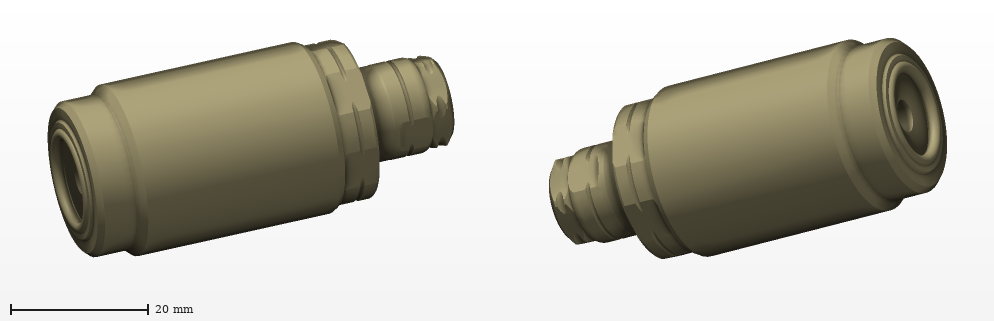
import cadquery as cq
import math

total_length = 57.85

body_radius = 12.815
body_front = 8.0
body_rear = 37.7
body_front_chamfer_length = 1.1
body_front_chamfer_radius = 11.8
body_rear_chamfer_length = 0.9
body_rear_chamfer_radius = 12.25

cap_radius = 11.65
cap_face = 0.85
cap_chamfer_length = 0.85
cap_chamfer_radius = 10.8
cap_rear = 6.6
rim_outer_radius = 9.1
rim_top_radius = 8.75
rim_face = 0.45

seal_tube_radius = cap_face
seal_radius = 7.05
recess_floor = 1.95
bore_radius = 2.45
bore_depth = 2.3

collar_radius = 12.0
collar_flat = 11.5
collar_front = body_rear + body_rear_chamfer_length
collar_front_chamfer = 0.2
collar_rear = 44.2
collar_rear_chamfer_length = 0.4
collar_rear_chamfer_radius = 11.75
collar_flat_front = 39.25
collar_runout = 0.5
collar_groove = 41.6

sleeve_radius = 7.05
sleeve_rear = 48.1

barrel_radius = 7.1
barrel_front = 48.4
barrel_rear = 54.35
barrel_rear_radius = 6.55
barrel_round_length = 1.2
barrel_flat = 6.6
barrel_flat_front = 49.9
barrel_runout = 1.1
barrel_groove = 51.0
fine_groove_radius = 0.35

nut_radius = 7.1
nut_flat = 6.35
nut_rear_radius = 5.8
nut_rear_chamfer = 1.15
nut_front_chamfer = nut_radius - barrel_rear_radius
nut_groove = 55.8
nut_groove_radius = 0.65
nut_groove_center_radius = nut_radius + 0.1

cutter_thickness = 2.3
cutter_half_width = 8.7


def turned_body():
    """Revolve the half outline (radius, y) about the Y axis."""
    round_drop = barrel_radius - barrel_rear_radius
    round_radius = (barrel_round_length**2 + round_drop**2) / (2 * round_drop)
    half_angle = math.asin(barrel_round_length / round_radius) / 2
    round_start = barrel_rear - barrel_round_length
    round_middle = (
        barrel_radius - round_radius * (1 - math.cos(half_angle)),
        round_start + round_radius * math.sin(half_angle),
    )
    outline = (
        cq.Workplane("XY")
        .moveTo(0, recess_floor)
        .lineTo(seal_radius, recess_floor)
        .lineTo(seal_radius, rim_face)
        .lineTo(rim_top_radius, rim_face)
        .lineTo(rim_outer_radius, cap_face)
        .lineTo(cap_chamfer_radius, cap_face)
        .lineTo(cap_radius, cap_face + cap_chamfer_length)
        .lineTo(cap_radius, cap_rear)
        .lineTo(body_front_chamfer_radius, body_front - body_front_chamfer_length)
        .lineTo(body_radius, body_front)
        .lineTo(body_radius, body_rear)
        .lineTo(body_rear_chamfer_radius, collar_front)
        .lineTo(collar_radius - collar_front_chamfer, collar_front)
        .lineTo(collar_radius, collar_front + collar_front_chamfer)
        .lineTo(collar_radius, collar_rear - collar_rear_chamfer_length)
        .lineTo(collar_rear_chamfer_radius, collar_rear)
        .lineTo(sleeve_radius, collar_rear)
        .lineTo(sleeve_radius, sleeve_rear)
        .lineTo(barrel_radius, barrel_front)
        .lineTo(barrel_radius, round_start)
        .threePointArc(round_middle, (barrel_rear_radius, barrel_rear))
        .lineTo(nut_radius, barrel_rear + nut_front_chamfer)
        .lineTo(nut_radius, total_length - nut_rear_chamfer)
        .lineTo(nut_rear_radius, total_length)
        .lineTo(0, total_length)
        .close()
    )
    return outline.revolve(360, (0, 0, 0), (0, 1, 0))


def ring(radius, y, tube_radius):
    """Torus around the Y axis."""
    section = cq.Workplane("XY").center(radius, y).circle(tube_radius)
    return section.revolve(360, (-radius, 0, 0), (-radius, 1, 0))


def flat_cutters(count, distance, front, rear, runout=0.0):
    """Cutters for equally spaced flats; the front end of each flat may sweep outwards in an arc."""
    outside = distance + cutter_thickness
    outline = cq.Workplane("XY").moveTo(outside, rear).lineTo(distance, rear).lineTo(distance, front)
    if runout:
        outline = outline.radiusArc((distance + runout, front - runout), -runout)
    outline = outline.lineTo(outside, front - runout).close()
    cutter = outline.extrude(cutter_half_width, both=True)
    return [cutter.rotate((0, 0, 0), (0, 1, 0), i * 360 / count) for i in range(count)]


result = turned_body().union(ring(seal_radius, cap_face, seal_tube_radius))
bore = cq.Workplane("XZ").circle(bore_radius).extrude(-(recess_floor + bore_depth))
result = result.cut(bore)

for cutters in (
    flat_cutters(6, collar_flat, collar_flat_front, collar_rear, collar_runout),
    flat_cutters(2, barrel_flat, barrel_flat_front, barrel_rear, barrel_runout),
    flat_cutters(6, nut_flat, barrel_rear, total_length),
):
    for cutter in cutters:
        result = result.cut(cutter)

result = result.cut(ring(collar_radius, collar_groove, fine_groove_radius))
result = result.cut(ring(barrel_radius, barrel_groove, fine_groove_radius))
result = result.cut(ring(nut_groove_center_radius, nut_groove, nut_groove_radius))